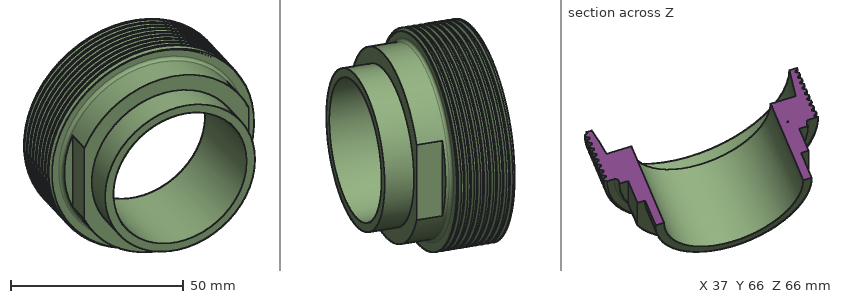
import cadquery as cq

thread_end = 18.0
step_fillet = 1.0
flats_start = 20.0
collar_end = 28.0
total_length = 37.0

crest_radius = 33.0
collar_radius = 29.1
neck_radius = 24.15
bore_radius = 21.45
flats_half_width = 26.45

recess_mouth_radius = 30.5
recess_floor_radius = 29.2
recess_depth = 9.0

thread_turns = 9
pitch = thread_end / thread_turns
thread_depth = 1.0
crest_width = 0.65
ridge_base_width = 1.8
root_radius = crest_radius - thread_depth
root_overlap = 0.1
first_crest_x = 0.1 * pitch
thread_overrun = 2 * pitch
sleeve_overrun = 2 * thread_overrun
trim_length = sleeve_overrun + pitch
sleeve_inner_radius = 31.0


def turned_body():
    """Core of the threaded section, fillet, collar and neck with the bores removed."""
    return (
        cq.Workplane("XY")
        .moveTo(0, recess_mouth_radius)
        .lineTo(0, sleeve_inner_radius)
        .lineTo(thread_end, sleeve_inner_radius)
        .lineTo(thread_end, collar_radius + step_fillet)
        .radiusArc((thread_end + step_fillet, collar_radius), -step_fillet)
        .lineTo(collar_end, collar_radius)
        .lineTo(collar_end, neck_radius)
        .lineTo(total_length, neck_radius)
        .lineTo(total_length, bore_radius)
        .lineTo(recess_depth, bore_radius)
        .lineTo(recess_depth, recess_floor_radius)
        .close()
        .revolve(360, (0, 0, 0), (1, 0, 0))
    )


def ridge_half_width(radius):
    """Half the width of the ridge at a radius, following its straight flanks."""
    flank_slope = (ridge_base_width - crest_width) / 2 / thread_depth
    return crest_width / 2 + flank_slope * (crest_radius - radius)


def thread_ridge():
    """Helical ridge sunk slightly below the root and run past both ends of the thread."""
    inner_radius = root_radius - root_overlap
    inner_half = ridge_half_width(inner_radius)
    crest_half = ridge_half_width(crest_radius)
    helix_length = thread_end + 2 * thread_overrun
    helix = cq.Wire.makeHelix(pitch, helix_length, root_radius)
    ridge = (
        cq.Workplane("XZ")
        .moveTo(inner_radius, -inner_half)
        .lineTo(crest_radius, -crest_half)
        .lineTo(crest_radius, crest_half)
        .lineTo(inner_radius, inner_half)
        .close()
        .sweep(cq.Workplane(obj=helix), isFrenet=True)
    )
    ridge = ridge.rotate((0, 0, 0), (1, 1, 1), 120)
    return ridge.translate((first_crest_x - thread_overrun, 0, 0))


def end_trimmer(end_x, direction):
    """Disc that removes the overrun thread beyond one end of the threaded length."""
    return (
        cq.Workplane("YZ", origin=(end_x, 0, 0))
        .circle(crest_radius + thread_depth)
        .extrude(direction * trim_length)
    )


def threaded_sleeve():
    """Sleeve at root size carrying the ridge, trimmed square to the threaded length."""
    sleeve = (
        cq.Workplane("YZ", origin=(-sleeve_overrun, 0, 0))
        .circle(root_radius)
        .circle(sleeve_inner_radius)
        .extrude(thread_end + 2 * sleeve_overrun)
    )
    sleeve = sleeve.union(thread_ridge())
    return sleeve.cut(end_trimmer(0, -1)).cut(end_trimmer(thread_end, 1))


def flat_cutter(side):
    """Block that leaves a wrench flat on the +Y (side = 1) or -Y (side = -1) of the collar."""
    length = collar_end - flats_start
    return (
        cq.Workplane("XY")
        .box(length, crest_radius, 2 * crest_radius, centered=(False, True, True))
        .translate((flats_start, side * (flats_half_width + crest_radius / 2), 0))
    )


result = turned_body().union(threaded_sleeve())
for side in (-1, 1):
    result = result.cut(flat_cutter(side))